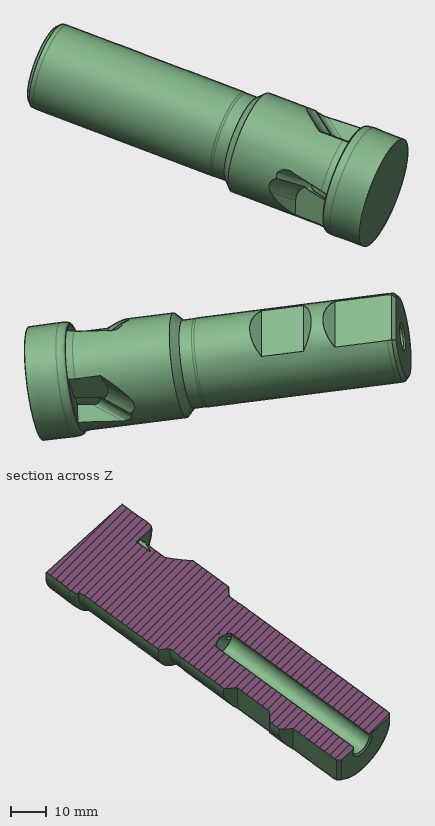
import cadquery as cq
import math

LENGTH = 104.3
SHANK_RADIUS = 12.5
LEAD_RADIUS = 12.4
NECK_RADIUS = 12.4
BODY_RADIUS = 14.7
FLARE_RADIUS = 15.0
COLLAR_RADIUS = 16.1
NOSE_RADIUS = 16.0

END_CHAMFER = 1.0
LEAD_END = 2.3
SHANK_END = 56.7
NECK_START = 57.5
NECK_END = 61.0
BODY_START = 63.3
FLARE_START = 90.8
COLLAR_START = 92.8
COLLAR_TAPER_START = 95.3
RIM_HEIGHT = 0.8

FLAT_HEIGHT = 9.7
END_FLAT_LENGTH = 17.2
SECOND_FLAT_START = 26.2
SECOND_FLAT_END = 38.1

HOLE_RADIUS = 3.4
HOLE_MOUTH_RADIUS = 4.0
HOLE_DEPTH = 52.2
HOLE_POINT_ANGLE = 118.0

DUCT_RADIUS = 0.5
DUCT_OFFSET = 2.8
DUCT_DEPTH = 10.4
DUCT_TURN = -17.0

POCKET_COUNT = 3
POCKET_TURN = 25.0
POCKET_END = 92.6
WALL_TILT = 12.0
RAMP_HEADING = 17.0
RAMP_ANGLE = 32.0
WALL_POSITION = 1.0
FLOOR_HEIGHT = 9.9
FLOOR_CORNER_RADIUS = 5.2
FLOOR_CORNER_SETBACK = 3.3
FLOOR_EDGE_DROP = 2.1
BACK_WALL_LEAN = 23.0
GROOVE_HEIGHT = 8.8
GROOVE_WIDTH = 4.4
GROOVE_LENGTH = 6.3
GROOVE_CORNER_RADIUS = 2.1
REACH = 31.3


def turned_body():
    """Shank, neck, body and collar turned about the X axis."""
    rim_curve = [
        (COLLAR_START, COLLAR_RADIUS - RIM_HEIGHT),
        (COLLAR_START, COLLAR_RADIUS),
        (COLLAR_TAPER_START, COLLAR_RADIUS),
    ]
    profile = (
        cq.Workplane("XY")
        .lineTo(0, LEAD_RADIUS - END_CHAMFER)
        .lineTo(END_CHAMFER, LEAD_RADIUS)
        .lineTo(LEAD_END, SHANK_RADIUS)
        .lineTo(SHANK_END, SHANK_RADIUS)
        .lineTo(NECK_START, NECK_RADIUS)
        .lineTo(NECK_END, NECK_RADIUS)
        .lineTo(BODY_START, BODY_RADIUS)
        .lineTo(FLARE_START, BODY_RADIUS)
        .lineTo(COLLAR_START, FLARE_RADIUS)
        .lineTo(*rim_curve[0])
        .bezier(rim_curve)
        .lineTo(LENGTH, NOSE_RADIUS)
        .lineTo(LENGTH, 0)
        .close()
    )
    return profile.revolve(360, (0, 0, 0), (1, 0, 0))


def flat_cutters():
    """Two flats with 45 degree run-outs; the first also bevels the shank end."""
    rise = COLLAR_RADIUS - FLAT_HEIGHT
    end_flat = (
        cq.Workplane("XY")
        .moveTo(0, FLAT_HEIGHT - END_CHAMFER)
        .lineTo(END_CHAMFER, FLAT_HEIGHT)
        .lineTo(END_FLAT_LENGTH, FLAT_HEIGHT)
        .lineTo(END_FLAT_LENGTH + rise, COLLAR_RADIUS)
        .lineTo(0, COLLAR_RADIUS)
        .close()
        .extrude(SHANK_RADIUS, both=True)
    )
    second_flat = (
        cq.Workplane("XY")
        .moveTo(SECOND_FLAT_START, FLAT_HEIGHT)
        .lineTo(SECOND_FLAT_END, FLAT_HEIGHT)
        .lineTo(SECOND_FLAT_END + rise, COLLAR_RADIUS)
        .lineTo(SECOND_FLAT_START - rise, COLLAR_RADIUS)
        .close()
        .extrude(SHANK_RADIUS, both=True)
    )
    return end_flat, second_flat


def hole_cutter():
    """Blind hole with a countersunk mouth and a drill point."""
    mouth_depth = HOLE_MOUTH_RADIUS - HOLE_RADIUS
    point_depth = HOLE_RADIUS / math.tan(math.radians(HOLE_POINT_ANGLE / 2))
    return (
        cq.Workplane("XY")
        .lineTo(0, HOLE_MOUTH_RADIUS)
        .lineTo(mouth_depth, HOLE_RADIUS)
        .lineTo(HOLE_DEPTH, HOLE_RADIUS)
        .lineTo(HOLE_DEPTH + point_depth, 0)
        .close()
        .revolve(360, (0, 0, 0), (1, 0, 0))
    )


def duct_cutter():
    """Blind duct beside the axis on the -Y side, leaving the hole bottom."""
    return (
        cq.Workplane("YZ", origin=(HOLE_DEPTH, -DUCT_OFFSET, 0))
        .circle(DUCT_RADIUS)
        .extrude(DUCT_DEPTH)
    )


def pocket_plane(height):
    """Plane facing -Y at a height above the axis, its x direction along the tilted wall."""
    tilt = math.radians(WALL_TILT)
    return cq.Workplane(
        cq.Plane(
            origin=(POCKET_END, -height, WALL_POSITION),
            xDir=(math.cos(tilt), 0, -math.sin(tilt)),
            normal=(0, -1, 0),
        )
    )


def raised_along_ramp(outline):
    """Solid swept from an outline outward and back along the cutter run-out."""
    heading = math.radians(RAMP_HEADING)
    climb = math.radians(RAMP_ANGLE)
    direction = cq.Vector(
        -math.cos(climb) * math.cos(heading),
        -math.sin(climb),
        math.cos(climb) * math.sin(heading),
    )
    return cq.Workplane(cq.Solid.extrudeLinear(outline.val(), [], direction * REACH))


def pocket_cutter():
    """Chip pocket with an open floor and a deeper groove along its wall."""
    lean = math.radians(BACK_WALL_LEAN)
    arc_middle = (math.radians(90) + math.radians(180) + lean) / 2
    center_y = -FLOOR_EDGE_DROP - FLOOR_CORNER_RADIUS
    center_x = -FLOOR_CORNER_SETBACK

    def corner_point(angle):
        return (
            center_x + FLOOR_CORNER_RADIUS * math.cos(angle),
            center_y + FLOOR_CORNER_RADIUS * math.sin(angle),
        )

    wall_foot = corner_point(math.pi + lean)
    floor = raised_along_ramp(
        pocket_plane(FLOOR_HEIGHT)
        .moveTo(REACH, -FLOOR_EDGE_DROP)
        .lineTo(center_x, -FLOOR_EDGE_DROP)
        .threePointArc(corner_point(arc_middle), wall_foot)
        .lineTo(wall_foot[0] + REACH * math.sin(lean), wall_foot[1] - REACH * math.cos(lean))
        .lineTo(REACH, wall_foot[1] - REACH * math.cos(lean))
        .close()
    )

    round_diagonal = GROOVE_CORNER_RADIUS * (1 - math.sqrt(0.5))
    groove = raised_along_ramp(
        pocket_plane(GROOVE_HEIGHT)
        .moveTo(REACH, 0)
        .lineTo(GROOVE_CORNER_RADIUS - GROOVE_LENGTH, 0)
        .threePointArc(
            (round_diagonal - GROOVE_LENGTH, -round_diagonal),
            (-GROOVE_LENGTH, -GROOVE_CORNER_RADIUS),
        )
        .lineTo(-GROOVE_LENGTH, GROOVE_CORNER_RADIUS - GROOVE_WIDTH)
        .threePointArc(
            (round_diagonal - GROOVE_LENGTH, round_diagonal - GROOVE_WIDTH),
            (GROOVE_CORNER_RADIUS - GROOVE_LENGTH, -GROOVE_WIDTH),
        )
        .lineTo(REACH, -GROOVE_WIDTH)
        .close()
    )
    behind_collar = cq.Workplane("YZ").rect(4 * REACH, 4 * REACH).extrude(POCKET_END)
    return floor.union(groove).intersect(behind_collar)


result = turned_body().cut(hole_cutter())
for flat in flat_cutters():
    result = result.cut(flat)

pocket = pocket_cutter()
duct = duct_cutter()
for index in range(POCKET_COUNT):
    step = index * 360 / POCKET_COUNT
    result = result.cut(pocket.rotate((0, 0, 0), (1, 0, 0), -(POCKET_TURN + step)))
    result = result.cut(duct.rotate((0, 0, 0), (1, 0, 0), -(DUCT_TURN + step)))